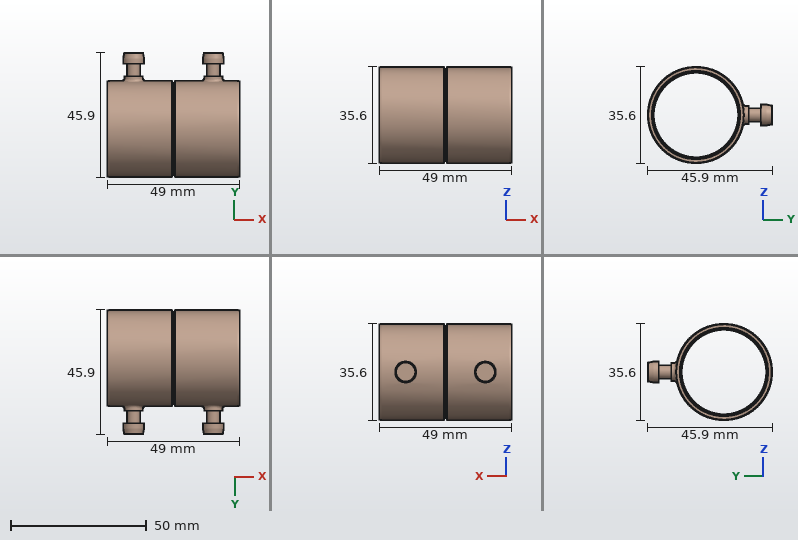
import cadquery as cq

length = 49.0
outer_radius = 35.6 / 2
bore_radius = 32.2 / 2
end_bevel_length = 0.95
bevel_depth = 0.25

groove_radius = 34.0 / 2
groove_top_width = 1.3
groove_floor_width = 0.6
stop_radius = 31.1 / 2

screw_offset = 14.7
screw_tip = 45.9 - outer_radius
head_radius = 7.8 / 2
head_tip_radius = 7.0 / 2
head_taper_height = 2.05
head_height = 4.1
shank_radius = 5.0 / 2
boss_radius = 6.8 / 2
boss_height = 1.7
boss_fillet = 1.0
boss_top = outer_radius + boss_height
boss_embed = 1.35
boss_root = outer_radius - boss_embed


def make_sleeve():
    """Revolve the tube wall, with bevelled ends, around the X axis."""
    end = length / 2
    bevel_start = end - end_bevel_length
    right_half = [
        (groove_floor_width / 2, groove_radius),
        (groove_top_width / 2, outer_radius),
        (bevel_start, outer_radius),
        (end, outer_radius - bevel_depth),
        (end, bore_radius + bevel_depth),
        (bevel_start, bore_radius),
        (groove_top_width / 2, bore_radius),
        (groove_floor_width / 2, stop_radius),
    ]
    left_half = [(-x, radius) for x, radius in reversed(right_half)]
    profile = cq.Workplane("XY").polyline(right_half + left_half).close()
    return profile.revolve(360, (0, 0, 0), (1, 0, 0))


def cylinder_along_y(x, radius, start, end):
    """Solid cylinder parallel to Y between two Y positions."""
    axis = cq.Vector(0, 1, 0)
    return cq.Workplane(cq.Solid.makeCylinder(radius, end - start, cq.Vector(x, start, 0), axis))


def make_boss(x):
    return cylinder_along_y(x, boss_radius, boss_root, boss_top)


def make_screw(x):
    """Shank and tapered head of one clamp screw."""
    head_bottom = screw_tip - head_height
    taper_start = screw_tip - head_taper_height
    profile = [
        (x, boss_top),
        (x + shank_radius, boss_top),
        (x + shank_radius, head_bottom),
        (x + head_radius, head_bottom),
        (x + head_radius, taper_start),
        (x + head_tip_radius, screw_tip),
        (x, screw_tip),
    ]
    return cq.Workplane("XY").polyline(profile).close().revolve(360, (x, 0, 0), (x, 1, 0))


result = make_sleeve()
for screw_x in (-screw_offset, screw_offset):
    result = result.union(make_boss(screw_x))
    foot_box = cq.selectors.BoxSelector(
        (screw_x - head_radius, boss_root, -head_radius),
        (screw_x + head_radius, boss_top - boss_height / 2, head_radius),
    )
    result = result.edges(foot_box).fillet(boss_fillet)
    result = result.union(make_screw(screw_x))